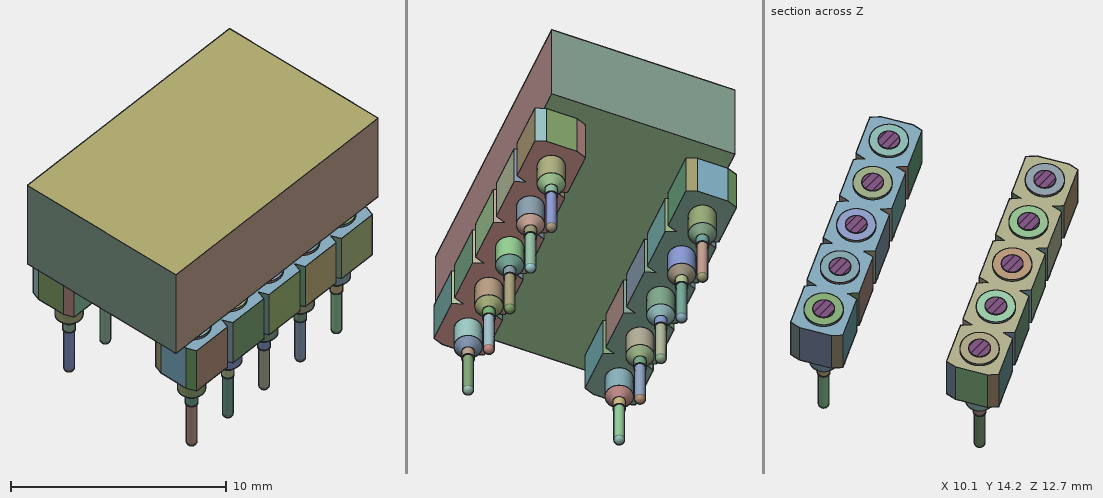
import cadquery as cq
import math

body_width = 9.2
body_length = 14.2
body_height = 5.0

pin_pitch = 2.54
pins_per_row = 5
row_spacing = 7.58

housing_width = 2.54
housing_height = 2.55
housing_chamfer_x = 0.5
housing_chamfer_y = 0.18

flange_diameter = 1.83
contact_diameter = 1.02
collar_diameter = 1.32
neck_diameter = 0.6
tail_diameter = 0.51

tail_top = 2.67
neck_top = 3.2
collar_bottom = 3.59
housing_bottom = 4.95
flange_height = 0.13
body_bottom = 7.71

housing_top = housing_bottom + housing_height
flange_top = housing_top + flange_height


def make_body():
    """Plain rectangular relay body."""
    block = cq.Workplane("XY").box(body_width, body_length, body_height, centered=(True, True, False))
    return block.translate((0, 0, body_bottom))


def make_housing():
    """One eight-sided housing segment; neighbouring segments meet on their flat ends."""
    half_x = housing_width / 2
    half_y = pin_pitch / 2
    flat_x = half_x - housing_chamfer_x
    flat_y = half_y - housing_chamfer_y
    outline = [
        (half_x, flat_y),
        (flat_x, half_y),
        (-flat_x, half_y),
        (-half_x, flat_y),
        (-half_x, -flat_y),
        (-flat_x, -half_y),
        (flat_x, -half_y),
        (half_x, -flat_y),
    ]
    base = cq.Workplane("XY", origin=(0, 0, housing_bottom))
    return base.polyline(outline).close().extrude(housing_height)


def make_pin():
    """Turned pin: round tip, tail, neck, tapered collar, flange and the contact entering the body."""
    tail_radius = tail_diameter / 2
    tip_arc_offset = tail_radius * math.sin(math.pi / 4)
    profile = (
        cq.Workplane("XZ")
        .moveTo(0, 0)
        .threePointArc((tip_arc_offset, tail_radius - tip_arc_offset), (tail_radius, tail_radius))
        .lineTo(tail_radius, tail_top)
        .lineTo(neck_diameter / 2, tail_top)
        .lineTo(neck_diameter / 2, neck_top)
        .lineTo(collar_diameter / 2, collar_bottom)
        .lineTo(collar_diameter / 2, housing_top)
        .lineTo(flange_diameter / 2, housing_top)
        .lineTo(flange_diameter / 2, flange_top)
        .lineTo(contact_diameter / 2, flange_top)
        .lineTo(contact_diameter / 2, body_bottom)
        .lineTo(0, body_bottom)
        .close()
    )
    return profile.revolve(360, (0, 0, 0), (0, 1, 0))


socket_unit = make_housing().union(make_pin())
result = make_body()
for side in (-1, 1):
    for index in range(pins_per_row):
        x = side * row_spacing / 2
        y = (index - (pins_per_row - 1) / 2) * pin_pitch
        result = result.union(socket_unit.translate((x, y, 0)))